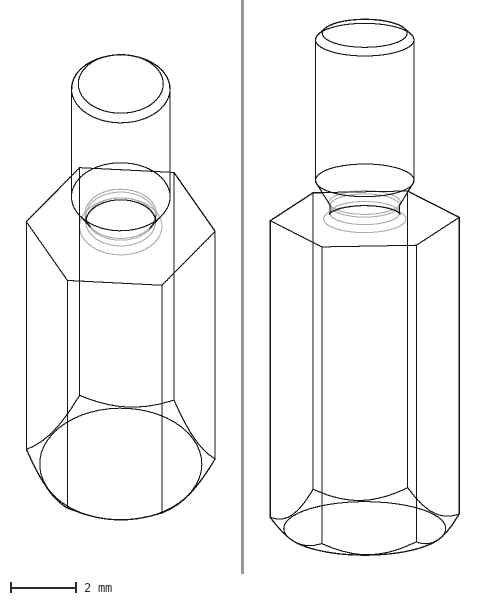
import cadquery as cq
import math

hex_sides = 6
total_length = 16.0
body_length = 10.0
across_corners = 5.78
corner_chamfer = 0.42

stud_diameter = 3.0
tip_chamfer = 0.2
neck_diameter = 2.13
undercut_length = 1.25
runout_angle = math.radians(30)
neck_fillet = 0.2

corner_radius = across_corners / 2
stud_radius = stud_diameter / 2
neck_radius = neck_diameter / 2
runout_top = body_length + undercut_length
runout_bottom = runout_top - (stud_radius - neck_radius) / math.tan(runout_angle)


def make_hex_body():
    """Hexagonal body with corners on the X axis, its bottom corners turned off at 45 degrees."""
    prism = cq.Workplane("XY").polygon(hex_sides, across_corners).extrude(body_length)
    envelope = (
        cq.Workplane("XY")
        .circle(corner_radius)
        .extrude(body_length)
        .faces("<Z")
        .chamfer(corner_chamfer)
    )
    return prism.intersect(envelope)


def make_stud():
    """Revolved stud: flared neck, conical runout, cylinder and chamfered tip."""
    tangent_length = neck_fillet * math.tan(runout_angle / 2)
    fillet_start = runout_bottom - tangent_length
    fillet_centre = neck_radius + neck_fillet

    def runout_fillet_point(angle):
        return (
            fillet_centre - neck_fillet * math.cos(angle),
            fillet_start + neck_fillet * math.sin(angle),
        )

    root_mid_angle = math.radians(45)
    root_middle = (
        fillet_centre - neck_fillet * math.cos(root_mid_angle),
        body_length + neck_fillet * (1 - math.sin(root_mid_angle)),
    )
    return (
        cq.Workplane("XZ")
        .moveTo(0, body_length)
        .lineTo(fillet_centre, body_length)
        .threePointArc(root_middle, (neck_radius, body_length + neck_fillet))
        .lineTo(neck_radius, fillet_start)
        .threePointArc(runout_fillet_point(runout_angle / 2), runout_fillet_point(runout_angle))
        .lineTo(stud_radius, runout_top)
        .lineTo(stud_radius, total_length - tip_chamfer)
        .lineTo(stud_radius - tip_chamfer, total_length)
        .lineTo(0, total_length)
        .close()
        .revolve(360, (0, 0, 0), (0, 1, 0))
    )


result = make_hex_body().union(make_stud())